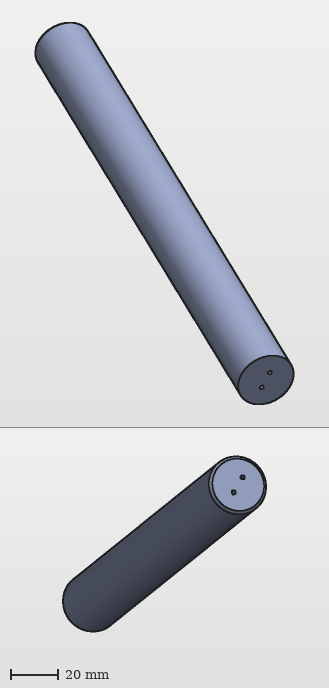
import cadquery as cq
import math

rod_length = 250.0
rod_diameter = 25.0
end_chamfer = 1.2
coolant_hole_diameter = 1.8
coolant_hole_spacing = 7.8
coolant_hole_angle = 120.0
coolant_hole_count = 2
helix_angle = 30.0
exit_overrun = 2.5

helix_pitch = math.pi * rod_diameter / math.tan(math.radians(helix_angle))
coolant_hole_length = rod_length + exit_overrun
coolant_twist = 360 * coolant_hole_length / helix_pitch

start_plane = cq.Workplane("YZ", origin=(-rod_length / 2, 0, 0))
rod = start_plane.circle(rod_diameter / 2).extrude(rod_length)

rod = rod.faces("<X").chamfer(end_chamfer)

coolant_holes = (
    start_plane
    .polarArray(coolant_hole_spacing / 2, coolant_hole_angle, 360, coolant_hole_count)
    .circle(coolant_hole_diameter / 2)
    .twistExtrude(coolant_hole_length, coolant_twist)
)

result = rod.cut(coolant_holes)